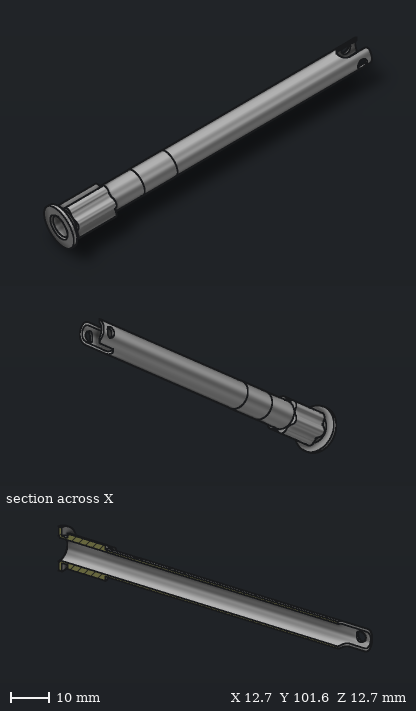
import cadquery as cq
import math

length = 101.6
tube_diameter = 7.8
bore_diameter = 6.3
mouth_chamfer = 0.5

flange_diameter = 12.7
flange_thickness = 1.1

band_diameter = 7.9
band_start = 25.6
band_end = 36.6

grip_start = 2.9
grip_end = 15.6
lobe_count = 6
lobe_tip_radius = 5.13
lobe_edge_radius = 4.5
groove_bottom_radius = 4.2
lobe_half_angle = 18.0

slot_width = 4.0
slot_depth = 8.3
prong_corner_radius = 1.0
pin_hole_diameter = 3.0
pin_hole_inset = 3.1


def cylinder(diameter, start, end):
    """Solid cylinder on the tube axis between two Y positions."""
    base = cq.Workplane("XZ", origin=(0, start, 0))
    return base.circle(diameter / 2).extrude(start - end)


def polar_point(radius, angle):
    """Point at an angle in degrees, measured from +Z towards +X."""
    radians = math.radians(angle)
    return (radius * math.sin(radians), radius * math.cos(radians))


def fluted_grip():
    pitch = 360.0 / lobe_count
    outline = cq.Workplane("XZ", origin=(0, grip_start, 0))
    outline = outline.moveTo(*polar_point(lobe_edge_radius, -lobe_half_angle))
    for index in range(lobe_count):
        center = index * pitch
        outline = outline.threePointArc(
            polar_point(lobe_tip_radius, center),
            polar_point(lobe_edge_radius, center + lobe_half_angle),
        )
        outline = outline.threePointArc(
            polar_point(groove_bottom_radius, center + pitch / 2),
            polar_point(lobe_edge_radius, center + pitch - lobe_half_angle),
        )
    return outline.close().extrude(grip_start - grip_end)


def bore():
    """Through bore with a conical lead-in at the mouth."""
    lead_in = (
        cq.Workplane("XZ")
        .circle(bore_diameter / 2 + mouth_chamfer)
        .extrude(-mouth_chamfer, taper=45)
    )
    return cylinder(bore_diameter, 0, length).union(lead_in)


def fork_slot():
    """Round-bottomed slot along Z whose open end flares over rounded prong corners."""
    half_width = slot_width / 2
    bottom = length - slot_depth
    corner_start = length - prong_corner_radius
    flared_half_width = half_width + prong_corner_radius
    corner_inset = prong_corner_radius * (1 - math.sqrt(0.5))
    return (
        cq.Workplane("XY")
        .moveTo(-half_width, bottom + half_width)
        .threePointArc((0, bottom), (half_width, bottom + half_width))
        .lineTo(half_width, corner_start)
        .threePointArc(
            (half_width + corner_inset, length - corner_inset),
            (flared_half_width, length),
        )
        .lineTo(-flared_half_width, length)
        .threePointArc(
            (-half_width - corner_inset, length - corner_inset),
            (-half_width, corner_start),
        )
        .close()
        .extrude(tube_diameter, both=True)
    )


def pin_hole():
    """Cross hole along X through both prongs."""
    return (
        cq.Workplane("YZ")
        .center(length - pin_hole_inset, 0)
        .circle(pin_hole_diameter / 2)
        .extrude(tube_diameter, both=True)
    )


result = (
    cylinder(tube_diameter, 0, length)
    .union(cylinder(flange_diameter, 0, flange_thickness))
    .union(cylinder(band_diameter, band_start, band_end))
    .union(fluted_grip())
    .cut(bore())
    .cut(fork_slot())
    .cut(pin_hole())
)